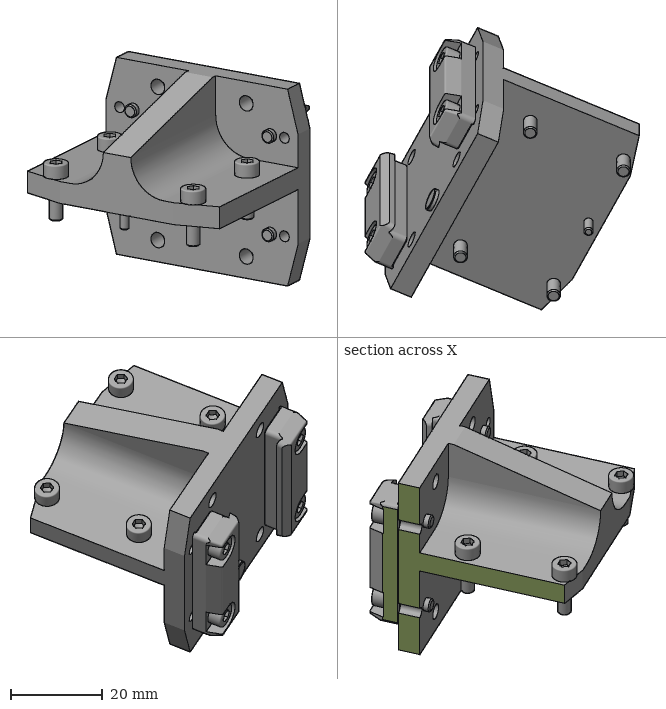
import cadquery as cq
import math


WIDTH = 49.0
HEIGHT = 45.0
THICKNESS = 5.0
BEVEL_ANGLE = math.radians(15)
PLATE_BEVEL_HEIGHT = 10.0
PLATE_BEVEL_WIDTH = PLATE_BEVEL_HEIGHT * math.tan(BEVEL_ANGLE)
MOUNT_HOLE_DIAMETER = 3.5
MOUNT_HOLE_X = 11.25
MOUNT_HOLE_Z = 17.5
SIDE_HOLE_DIAMETER = 2.45
SIDE_HOLE_X = 21.0

FRONT_Y = -40.42
SHELF_BEVEL_WIDTH = PLATE_BEVEL_HEIGHT
SHELF_BEVEL_DEPTH = SHELF_BEVEL_WIDTH * math.tan(BEVEL_ANGLE)
WEB_WIDTH = 7.0
WEB_FLAT_LENGTH = 1.3
COVE_RADIUS = 8.5
WEB_FRONT_HEIGHT = THICKNESS + COVE_RADIUS

SCREW_X = 17.5
SCREW_SPACING = 22.5
SCREW_LENGTH = 10.0
SHANK_DIAMETER = 3.0
SHANK_CHAMFER = 0.3
HEAD_DIAMETER = 5.5
HEAD_HEIGHT = 3.1
HEAD_EDGE_ROUND = 0.3
SOCKET_WIDTH = 2.5
SOCKET_DEPTH = 1.3
SOCKET_POINT_ANGLE = math.radians(118)
FRONT_SCREW_SETBACK = 3.15
FRONT_SCREW_Y = FRONT_Y + FRONT_SCREW_SETBACK

PIN_DIAMETER = 2.0
PIN_LENGTH = 4.25
PIN_CHAMFER = 0.3
BUTTON_DIAMETER = 5.0
BUTTON_HEIGHT = 1.0
BUTTON_CHAMFER = 0.2
BUTTON_Z = -18.0

CLIP_LENGTH = 32.15
CLIP_OUTER_X = 21.05
CLIP_INNER_X = 12.45
CLIP_GAP = 0.4
CLIP_BASE_Y = 3.55
CLIP_TOP_Y = 7.05
CLIP_TAPER = (CLIP_TOP_Y - CLIP_BASE_Y) * math.tan(BEVEL_ANGLE)
CLIP_CORNER_RADIUS = 1.15
CLIP_EDGE_ROUND = 0.45
CLIP_BOTTOM_CHAMFER = 0.2
LIP_WIDTH = 1.1
LIP_GAP = 0.15
HOOK_TIP_X = 10.95
HOOK_ROOT_Y = 5.0
HOOK_TIP_LOW_Y = 4.2
HOOK_TIP_HIGH_Y = 5.5
POCKET_WIDTH = 6.5

SELECT_MARGIN = 0.5


def box_between(low, high):
    """Axis-aligned box between two opposite corners."""
    size = [b - a for a, b in zip(low, high)]
    return cq.Workplane("XY").box(*size, centered=False).translate(low)


def plate():
    """Upright plate with bevelled corners, four mounting holes and four smaller side holes."""
    half_width = WIDTH / 2
    half_height = HEIGHT / 2
    shoulder_x = half_width - PLATE_BEVEL_WIDTH
    shoulder_z = half_height - PLATE_BEVEL_HEIGHT
    outline = [
        (half_width, -shoulder_z),
        (half_width, shoulder_z),
        (shoulder_x, half_height),
        (-shoulder_x, half_height),
        (-half_width, shoulder_z),
        (-half_width, -shoulder_z),
        (-shoulder_x, -half_height),
        (shoulder_x, -half_height),
    ]
    body = cq.Workplane("XZ").polyline(outline).close().extrude(THICKNESS)
    hole_patterns = [
        (MOUNT_HOLE_X, MOUNT_HOLE_Z, MOUNT_HOLE_DIAMETER),
        (SIDE_HOLE_X, SCREW_SPACING / 2, SIDE_HOLE_DIAMETER),
    ]
    for x, z, diameter in hole_patterns:
        corners = cq.Workplane("XZ").rect(2 * x, 2 * z, forConstruction=True).vertices()
        body = body.cut(corners.circle(diameter / 2).extrude(THICKNESS))
    return body


def shelf():
    """Horizontal shelf with bevelled front corners; its underside is at Z = 0."""
    half_width = WIDTH / 2
    front_x = half_width - SHELF_BEVEL_WIDTH
    bevel_y = FRONT_Y + SHELF_BEVEL_DEPTH
    outline = [
        (-half_width, -THICKNESS),
        (-half_width, bevel_y),
        (-front_x, FRONT_Y),
        (front_x, FRONT_Y),
        (half_width, bevel_y),
        (half_width, -THICKNESS),
    ]
    return cq.Workplane("XY").polyline(outline).close().extrude(THICKNESS)


def web():
    """Central rib with concave flanks and a sloping top."""
    half_web = WEB_WIDTH / 2
    foot_x = half_web + COVE_RADIUS
    cove_drop = COVE_RADIUS * math.sin(math.pi / 4)
    cove_mid = (foot_x - cove_drop, WEB_FRONT_HEIGHT - cove_drop)
    section = (
        cq.Workplane("XZ")
        .moveTo(-foot_x, THICKNESS)
        .lineTo(foot_x, THICKNESS)
        .threePointArc(cove_mid, (half_web, WEB_FRONT_HEIGHT))
        .lineTo(half_web, HEIGHT / 2)
        .lineTo(-half_web, HEIGHT / 2)
        .lineTo(-half_web, WEB_FRONT_HEIGHT)
        .threePointArc((-cove_mid[0], cove_mid[1]), (-foot_x, THICKNESS))
        .close()
        .extrude(-FRONT_Y)
    )
    side = [
        (0, 0),
        (0, HEIGHT / 2),
        (-THICKNESS - WEB_FLAT_LENGTH, HEIGHT / 2),
        (FRONT_Y, WEB_FRONT_HEIGHT),
        (FRONT_Y, 0),
    ]
    side_limit = cq.Workplane("YZ").polyline(side).close().extrude(WIDTH / 2, both=True)
    return section.intersect(side_limit)


def screw():
    """Socket head screw along Z, its head resting on Z = 0; the hexagon socket has a conical floor."""
    shank = cq.Workplane("XY").circle(SHANK_DIAMETER / 2).extrude(-SCREW_LENGTH)
    shank = shank.faces("<Z").chamfer(SHANK_CHAMFER)
    head = cq.Workplane("XY").circle(HEAD_DIAMETER / 2).extrude(HEAD_HEIGHT)
    head = head.faces(">Z").edges().fillet(HEAD_EDGE_ROUND)
    socket_corners = SOCKET_WIDTH / math.cos(math.pi / 6)
    socket = cq.Workplane("XY").polygon(6, socket_corners).extrude(HEAD_HEIGHT)
    floor_z = HEAD_HEIGHT - SOCKET_DEPTH
    point_z = floor_z - socket_corners / 2 / math.tan(SOCKET_POINT_ANGLE / 2)
    drill_outline = [
        (0, point_z),
        (socket_corners / 2, floor_z),
        (socket_corners / 2, HEAD_HEIGHT),
        (0, HEAD_HEIGHT),
    ]
    drill = cq.Workplane("XZ").polyline(drill_outline).close().revolve(360, (0, 0, 0), (0, 1, 0))
    return shank.union(head).cut(socket.intersect(drill))


def pin():
    """Small pin below the shelf, in line with the front screws."""
    body = cq.Workplane("XY").center(0, FRONT_SCREW_Y).circle(PIN_DIAMETER / 2).extrude(-PIN_LENGTH)
    return body.faces("<Z").chamfer(PIN_CHAMFER)


def button():
    """Round button low on the back face of the plate."""
    body = cq.Workplane("XZ").center(0, BUTTON_Z).circle(BUTTON_DIAMETER / 2).extrude(-BUTTON_HEIGHT)
    return body.faces(">Y").chamfer(BUTTON_CHAMFER)


def clip_bar():
    """Bar of the clip at +X with rounded corners, and the lip under its outer edge."""
    half_length = CLIP_LENGTH / 2
    prism = box_between((CLIP_INNER_X, LIP_GAP, -half_length), (CLIP_OUTER_X, CLIP_TOP_Y, half_length))
    prism = prism.edges("|Y").fillet(CLIP_CORNER_RADIUS)
    above_gap = box_between((0, CLIP_GAP, -half_length), (CLIP_OUTER_X, CLIP_TOP_Y, half_length))
    bar = prism.intersect(above_gap).faces("<Y").chamfer(CLIP_BOTTOM_CHAMFER)
    lip_zone = box_between(
        (CLIP_OUTER_X - LIP_WIDTH, LIP_GAP, -half_length), (CLIP_OUTER_X, CLIP_BASE_Y, half_length)
    )
    return bar.union(prism.intersect(lip_zone))


def clip_envelope():
    """Outer limit of the clip: straight at the base, narrowing above it, with rounded upper edges."""
    half_length = CLIP_LENGTH / 2
    end_outline = [
        (0, half_length),
        (CLIP_BASE_Y, half_length),
        (CLIP_TOP_Y, half_length - CLIP_TAPER),
        (CLIP_TOP_Y, CLIP_TAPER - half_length),
        (CLIP_BASE_Y, -half_length),
        (0, -half_length),
    ]
    ends = cq.Workplane("YZ").polyline(end_outline).close().extrude(CLIP_OUTER_X)
    side_outline = [
        (HOOK_TIP_X, 0),
        (CLIP_OUTER_X, 0),
        (CLIP_OUTER_X, CLIP_BASE_Y),
        (CLIP_OUTER_X - CLIP_TAPER, CLIP_TOP_Y),
        (CLIP_INNER_X, CLIP_TOP_Y),
        (HOOK_TIP_X, HOOK_TIP_HIGH_Y),
    ]
    section = cq.Workplane("XY").polyline(side_outline).close().extrude(half_length, both=True)
    body = section.intersect(ends)
    hook_tip_edges = cq.selectors.BoxSelector(
        (HOOK_TIP_X - SELECT_MARGIN, CLIP_BASE_Y, -half_length),
        (HOOK_TIP_X + SELECT_MARGIN, HOOK_TIP_HIGH_Y, half_length),
    )
    body = body.edges(hook_tip_edges).edges("not |Z").fillet(CLIP_CORNER_RADIUS)
    upper_edges = cq.selectors.BoxSelector(
        (CLIP_INNER_X, CLIP_BASE_Y - SELECT_MARGIN, -half_length - SELECT_MARGIN),
        (CLIP_OUTER_X + SELECT_MARGIN, CLIP_TOP_Y + SELECT_MARGIN, half_length + SELECT_MARGIN),
    )
    return body.edges(upper_edges).edges("not(|Z and <X)").fillet(CLIP_EDGE_ROUND)


def clip():
    """Clip at +X: a bar with a hook along its inner side and open pockets for two screw heads."""
    half_length = CLIP_LENGTH / 2
    hook_root_x = CLIP_INNER_X + CLIP_CORNER_RADIUS
    hook_outline = [
        (hook_root_x, HOOK_ROOT_Y),
        (HOOK_TIP_X, HOOK_TIP_LOW_Y),
        (HOOK_TIP_X, CLIP_TOP_Y),
        (hook_root_x, CLIP_TOP_Y),
    ]
    hook = cq.Workplane("XY").polyline(hook_outline).close().extrude(half_length, both=True)
    body = clip_bar().union(hook).intersect(clip_envelope())

    radius = POCKET_WIDTH / 2
    for z in (-SCREW_SPACING / 2, SCREW_SPACING / 2):
        pocket = box_between((SCREW_X, CLIP_BASE_Y, z - radius), (CLIP_OUTER_X, CLIP_TOP_Y, z + radius))
        round_end = (
            cq.Workplane("XZ", origin=(SCREW_X, CLIP_TOP_Y, z))
            .circle(radius)
            .extrude(CLIP_TOP_Y - CLIP_BASE_Y)
        )
        body = body.cut(pocket).cut(round_end)
    return body


result = plate().union(shelf()).union(web()).union(pin()).union(button())

right_clip = clip()
result = result.union(right_clip).union(right_clip.mirror("YZ"))

clip_screw = screw().rotate((0, 0, 0), (1, 0, 0), -90)
for x in (-SCREW_X, SCREW_X):
    for z in (-SCREW_SPACING / 2, SCREW_SPACING / 2):
        result = result.union(clip_screw.translate((x, CLIP_BASE_Y, z)))
    for y in (FRONT_SCREW_Y, FRONT_SCREW_Y + SCREW_SPACING):
        result = result.union(screw().translate((x, y, THICKNESS)))